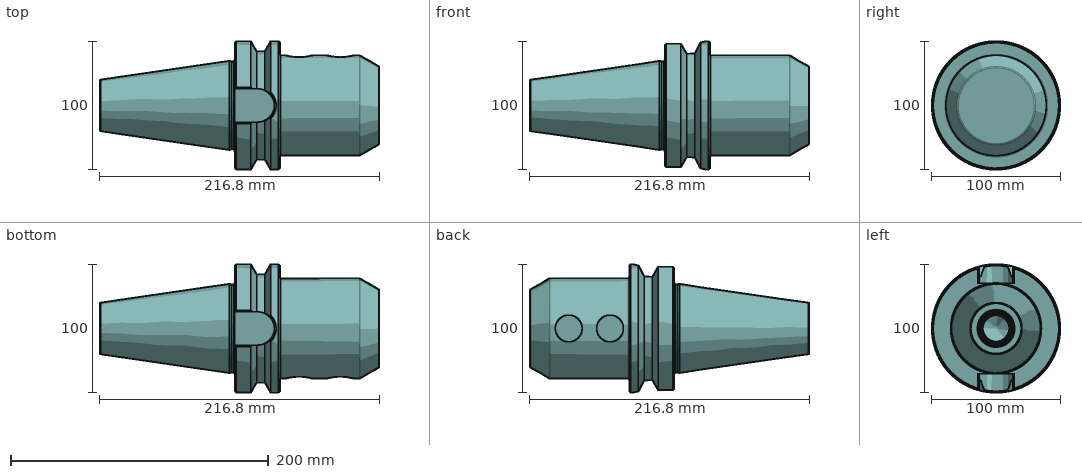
import cadquery as cq
import math


taper_ratio = 7 / 24
gauge_x = 102.0
gauge_radius = 35.0
taper_edge = 0.7

relief_x = 100.5
relief_radius = 34.3
relief_slope = 1.3
relief_corner = 1.0

flange_start = 104.7
flange_end = 139.8
flange_diameter = 100.0
flange_radius = flange_diameter / 2
flange_edge = 1.3
groove_x = 124.9
groove_bottom_radius = 42.3
groove_bottom_width = 6.5
groove_half_angle = 30.0

slot_width = 25.8
slot_floor_z = 35.1
slot_end_x = 135.5
slot_edge = 1.3

total_length = 216.8
shank_radius = 39.0
shank_cone_length = 15.2
shank_cone_angle = 30.0
shank_fillet = 1.3
shank_root_fillet = 0.9

bore_mouth_radius = 14.5
bore_lip_depth = 0.7
lead_in_end = 3.0
pilot_radius = 12.8
pilot_end = 9.8
recess_radius = 12.1
recess_end = 12.8
seat_radius = 11.5
seat_end = 14.3
bore_radius = 10.2
bore_depth = 43.4
bore_tip_angle = 60.0

screw_radius = 10.5
screw_depth = 19.0
screw_from_end = 30.1
screw_spacing = 32.0
screw_count = 2

select_margin = 0.2


def tan_degrees(angle):
    return math.tan(math.radians(angle))


def revolve_about_x(points):
    return cq.Workplane("XY").polyline(points).close().revolve(360, (0, 0, 0), (1, 0, 0))


def taper_radius(x):
    return gauge_radius - (gauge_x - x) * taper_ratio / 2


def make_taper():
    return revolve_about_x([
        (0, 0),
        (0, taper_radius(taper_edge) - taper_edge),
        (taper_edge, taper_radius(taper_edge)),
        (relief_x, taper_radius(relief_x)),
        (relief_x + relief_slope, relief_radius),
        (flange_start - relief_corner, relief_radius),
        (flange_start, relief_radius + relief_corner),
        (flange_start, 0),
    ])


def make_flange():
    bottom_half = groove_bottom_width / 2
    top_half = bottom_half + (flange_radius - groove_bottom_radius) * tan_degrees(groove_half_angle)
    rim = revolve_about_x([
        (flange_start, 0),
        (flange_start, flange_radius - flange_edge),
        (flange_start + flange_edge, flange_radius),
        (groove_x - top_half, flange_radius),
        (groove_x - bottom_half, groove_bottom_radius),
        (groove_x + bottom_half, groove_bottom_radius),
        (groove_x + top_half, flange_radius),
        (flange_end - flange_edge, flange_radius),
        (flange_end, flange_radius - flange_edge),
        (flange_end, 0),
    ])
    return rim.intersect(make_slotted_disc())


def make_slotted_disc():
    """Plain disc with both drive slots and their chamfered lips and mouths."""
    disc = (
        cq.Workplane("YZ", origin=(flange_start, 0, 0))
        .circle(flange_radius)
        .extrude(flange_end - flange_start)
    )
    for side in (1, -1):
        disc = disc.cut(make_slot(side))
    lip_z = math.sqrt(flange_radius**2 - (slot_width / 2) ** 2)
    for side in (1, -1):
        lip_zone = cq.selectors.BoxSelector(
            (flange_start + select_margin, -slot_width, side * (lip_z - select_margin)),
            (flange_end - select_margin, slot_width, side * (flange_radius + select_margin)),
        )
        disc = disc.edges(lip_zone).chamfer(slot_edge)
    for side in (1, -1):
        disc = disc.cut(make_slot_mouth(side))
    return disc


def extrude_from_slot_floor(outline, side):
    return outline.close().extrude(side * (flange_radius - slot_floor_z))


def make_slot(side):
    half_width = slot_width / 2
    arc_x = slot_end_x - half_width
    outline = (
        cq.Workplane("XY", origin=(0, 0, side * slot_floor_z))
        .moveTo(flange_start, half_width)
        .lineTo(arc_x, half_width)
        .threePointArc((slot_end_x, 0), (arc_x, -half_width))
        .lineTo(flange_start, -half_width)
    )
    return extrude_from_slot_floor(outline, side)


def make_slot_mouth(side):
    half_width = slot_width / 2
    outline = (
        cq.Workplane("XY", origin=(0, 0, side * slot_floor_z))
        .moveTo(flange_start, half_width + slot_edge)
        .lineTo(flange_start + slot_edge, half_width)
        .lineTo(flange_start + slot_edge, -half_width)
        .lineTo(flange_start, -half_width - slot_edge)
    )
    return extrude_from_slot_floor(outline, side)


def make_shank():
    cone_drop = shank_cone_length * tan_degrees(shank_cone_angle)
    shank = revolve_about_x([
        (flange_end, 0),
        (flange_end, shank_radius),
        (total_length - shank_cone_length, shank_radius),
        (total_length, shank_radius - cone_drop),
        (total_length, 0),
    ])
    return shank.edges("%CIRCLE and (not <X)").fillet(shank_fillet)


def make_bore():
    return revolve_about_x([
        (0, 0),
        (0, bore_mouth_radius),
        (bore_lip_depth, bore_mouth_radius - bore_lip_depth),
        (lead_in_end, pilot_radius),
        (pilot_end, pilot_radius),
        (pilot_end, recess_radius),
        (recess_end, recess_radius),
        (recess_end, seat_radius),
        (seat_end, bore_radius),
        (bore_depth, bore_radius),
        (bore_depth + bore_radius / tan_degrees(bore_tip_angle), 0),
    ])


def make_screw_hole(x):
    return (
        cq.Workplane("XZ", origin=(x, shank_radius, 0))
        .circle(screw_radius)
        .extrude(screw_depth)
    )


def fillet_shank_root(holder):
    reach = shank_radius + select_margin
    root = cq.selectors.BoxSelector(
        (flange_end - select_margin, -reach, -reach),
        (flange_end + select_margin, reach, reach),
        boundingbox=True,
    )
    return holder.edges(root).fillet(shank_root_fillet)


holder = fillet_shank_root(make_taper().union(make_flange()).union(make_shank()))
result = holder.cut(make_bore())
for index in range(screw_count):
    result = result.cut(make_screw_hole(total_length - screw_from_end - index * screw_spacing))